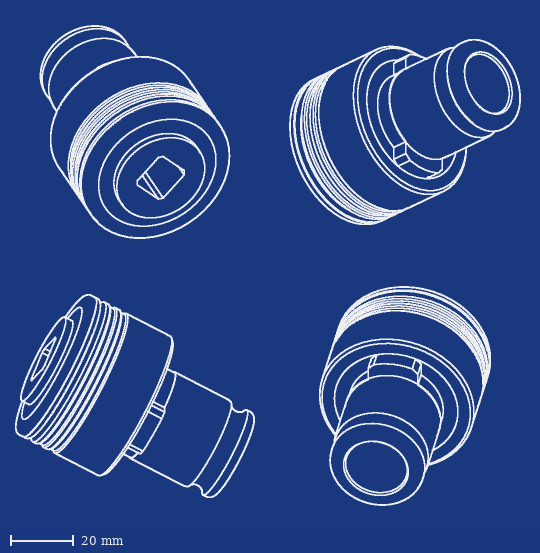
import cadquery as cq
import math

total_length = 69.0
lug_front_x = 29.45
collar_front_x = 35.05
collar_back_x = 65.9
flange_front_x = 66.45

nose_dia = 30.5
nose_fillet = 2.0
nose_land_end_x = 3.2
ball_groove_end_x = 9.05
ball_groove_depth = 1.9
shank_dia = 31.0
shank_lead_in = 1.05
hub_dia = 40.0
rear_neck_dia = 21.0
flange_dia = 30.0

lug_width = 16.15
lug_shoulder_z = 17.2

bore_dia = 20.0
bore_mouth_dia = 21.0
bore_mouth_length = 0.8
bore_depth = lug_front_x
drill_point_angle = 118.0
square_flats = 12.4
square_corner_dia = 16.0

collar_dia = 50.0
collar_chamfer = 1.0
groove_dia = 49.0
groove_start_x = 51.95
groove_width = 2.55
groove_pitch = 4.0
groove_count = 2
back_taper_start_x = 59.9
back_taper_end_x = 61.6
back_taper_dia = 46.5
bead_radius = 1.0
bead_center_x = 62.5
bead_dia = 50.1
rim_front_x = 63.35
rim_fillet = 1.2


def spin(outline):
    """Revolve an outline, drawn with X along the axis and Y as radius, about the X axis."""
    return outline.close().revolve(360, (0, 0, 0), (1, 0, 0))


def cylinder(diameter, start_x, end_x):
    return cq.Workplane("YZ").workplane(offset=start_x).circle(diameter / 2).extrude(end_x - start_x)


def make_core_blank():
    nose_r = nose_dia / 2
    shank_r = shank_dia / 2
    fillet_reach = nose_fillet * (1 - math.sqrt(0.5))
    groove_middle = ((nose_land_end_x + ball_groove_end_x) / 2, nose_r - ball_groove_depth)
    outline = (
        cq.Workplane("XY")
        .moveTo(0, 0)
        .lineTo(0, nose_r - nose_fillet)
        .threePointArc((fillet_reach, nose_r - fillet_reach), (nose_fillet, nose_r))
        .lineTo(nose_land_end_x, nose_r)
        .threePointArc(groove_middle, (ball_groove_end_x, nose_r))
        .lineTo(ball_groove_end_x + shank_lead_in, shank_r)
        .lineTo(lug_front_x, shank_r)
        .lineTo(lug_front_x, nose_r)
        .lineTo(collar_front_x, nose_r)
        .lineTo(collar_front_x, hub_dia / 2)
        .lineTo(collar_back_x, hub_dia / 2)
        .lineTo(collar_back_x, rear_neck_dia / 2)
        .lineTo(flange_front_x, rear_neck_dia / 2)
        .lineTo(flange_front_x, flange_dia / 2)
        .lineTo(total_length, flange_dia / 2)
        .lineTo(total_length, 0)
    )
    return spin(outline)


def make_lugs():
    """Upper and lower lugs: a bar across the axis, rounded to the hub diameter."""
    hub_r = hub_dia / 2
    chamfer = hub_r - lug_shoulder_z
    bar = (
        cq.Workplane("XY")
        .box(collar_front_x - lug_front_x, lug_width, hub_dia)
        .edges("|X")
        .chamfer(chamfer)
        .translate(((lug_front_x + collar_front_x) / 2, 0, 0))
    )
    return bar.intersect(cylinder(hub_dia, lug_front_x, collar_front_x))


def make_bore():
    bore_r = bore_dia / 2
    mouth_r = bore_mouth_dia / 2
    cone_end_r = square_flats / 2
    cone_length = (bore_r - cone_end_r) / math.tan(math.radians(drill_point_angle / 2))
    outline = (
        cq.Workplane("XY")
        .moveTo(0, 0)
        .lineTo(0, mouth_r)
        .lineTo(bore_mouth_length, bore_r)
        .lineTo(bore_depth, bore_r)
        .lineTo(bore_depth + cone_length, cone_end_r)
        .lineTo(bore_depth + cone_length, 0)
    )
    return spin(outline)


def make_square_socket():
    """Square hole standing on its corner, with the corners rounded by a larger circle."""
    square = (
        cq.Workplane("YZ")
        .workplane(offset=bore_depth)
        .transformed(rotate=(0, 0, 45))
        .rect(square_flats, square_flats)
        .extrude(total_length - bore_depth)
    )
    return square.intersect(cylinder(square_corner_dia, bore_depth, total_length))


def make_core():
    return make_core_blank().union(make_lugs()).cut(make_bore()).cut(make_square_socket())


def make_bead():
    """Rounded ring that stands in the neck between the back taper and the rim."""
    center_line_r = bead_dia / 2 - bead_radius
    section = cq.Workplane("XY").moveTo(bead_center_x, center_line_r).circle(bead_radius)
    return section.revolve(360, (0, 0, 0), (1, 0, 0))


def make_collar():
    collar_r = collar_dia / 2
    groove_r = groove_dia / 2
    slope = collar_r - groove_r
    taper_r = back_taper_dia / 2
    bore_r = hub_dia / 2
    fillet_reach = rim_fillet * (1 - math.sqrt(0.5))

    outline = (
        cq.Workplane("XY")
        .moveTo(collar_front_x, bore_r)
        .lineTo(collar_front_x, collar_r - collar_chamfer)
        .lineTo(collar_front_x + collar_chamfer, collar_r)
    )
    for index in range(groove_count):
        start_x = groove_start_x + index * groove_pitch
        end_x = start_x + groove_width
        outline = (
            outline.lineTo(start_x, collar_r)
            .lineTo(start_x + slope, groove_r)
            .lineTo(end_x - slope, groove_r)
            .lineTo(end_x, collar_r)
        )
    outline = (
        outline.lineTo(back_taper_start_x, collar_r)
        .lineTo(back_taper_end_x, taper_r)
        .lineTo(rim_front_x, taper_r)
        .lineTo(rim_front_x, collar_r)
        .lineTo(collar_back_x - rim_fillet, collar_r)
        .threePointArc(
            (collar_back_x - fillet_reach, collar_r - fillet_reach),
            (collar_back_x, collar_r - rim_fillet),
        )
        .lineTo(collar_back_x, bore_r)
    )
    return spin(outline).union(make_bead())


core = make_core()
collar = make_collar()

result = cq.Compound.makeCompound([core.val(), collar.val()])